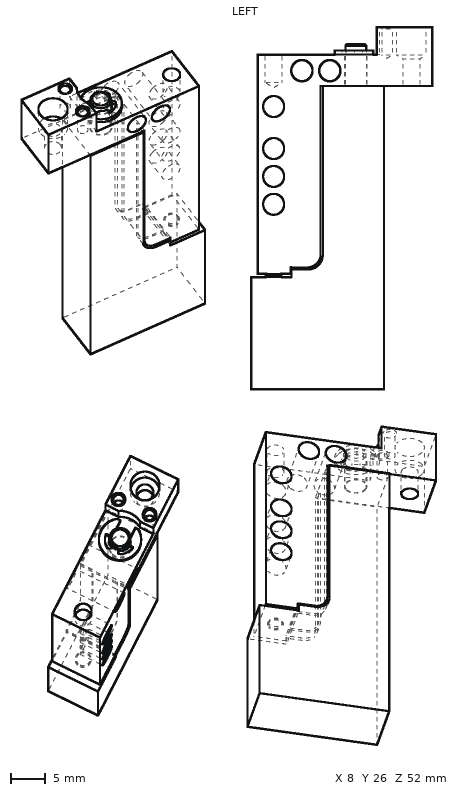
import cadquery as cq
import math

HOUSING_WIDTH = 8.0
HOUSING_DEPTH = 19.1
SHELF_HEIGHT = 16.1
SHELF_LENGTH = 5.75
POCKET_LENGTH = 10.3
POCKET_FLOOR = 17.2
POCKET_RADIUS = 2.2
RIB_WIDTH = 4.0

SLIDE_WIDTH = 7.7
SLIDE_INSET = 0.95
TOTAL_HEIGHT = 52.0
TOTAL_DEPTH = 26.0
HEAD_BLOCK_LENGTH = 8.0
HEAD_BLOCK_RISE = 3.95
HEAD_HEIGHT = 8.5
POCKET_GAP = 0.3
FOOT_GAP_Y = 0.13
FOOT_GAP_Z = 0.45

HOUSING_BACK = HOUSING_DEPTH
SLIDE_BACK = HOUSING_BACK - SLIDE_INSET
SLIDE_FRONT = HOUSING_BACK - TOTAL_DEPTH
SHELF_EDGE = HOUSING_BACK - SHELF_LENGTH
POCKET_WALL = HOUSING_BACK - POCKET_LENGTH
FOOT_FRONT = SHELF_EDGE + FOOT_GAP_Y
FOOT_BOTTOM = SHELF_HEIGHT + FOOT_GAP_Z
COLUMN_FRONT = POCKET_WALL + POCKET_GAP
COLUMN_BOTTOM = POCKET_FLOOR + POCKET_GAP
COLUMN_RADIUS = POCKET_RADIUS - POCKET_GAP
ARM_BOTTOM = TOTAL_HEIGHT - HEAD_HEIGHT
ARM_TOP = TOTAL_HEIGHT - HEAD_BLOCK_RISE
HEAD_BLOCK_BACK = SLIDE_FRONT + HEAD_BLOCK_LENGTH

CROSS_HOLE_DIAMETER = 3.0
HOLE_PITCH = 4.0
ARM_HOLE_Z = 45.75
ARM_HOLE_BACK_Y = 11.8
COLUMN_HOLE_Y = 15.85
COLUMN_HOLE_LOWEST_Z = 26.55
COLUMN_HOLE_TOP_Z = 40.6
COLUMN_HOLE_DEPTH = 3.65
EVEN_COLUMN_HOLES = 3
COLUMN_HOLES_Z = [COLUMN_HOLE_LOWEST_Z + i * HOLE_PITCH for i in range(EVEN_COLUMN_HOLES)]
COLUMN_HOLES_Z.append(COLUMN_HOLE_TOP_Z)

DRILL_POINT_ANGLE = 118.0
TOP_HOLE_DIAMETER = 2.45
TOP_HOLE_DEPTH = 4.0
MOUNT_HOLE_FRONT = 3.0
MOUNT_HOLE_DIAMETER = 2.45
MOUNT_BORE_DIAMETER = 4.2
MOUNT_BORE_DEPTH = 4.0
SCREW_HOLE_DIAMETER = 1.5
SCREW_HOLE_CHAMFER_DIAMETER = 2.0
SCREW_HOLE_DEPTH = 4.0
SCREW_HOLE_SPACING = 5.0
SCREW_HOLE_Y = -0.4

ROD_Y = 4.05
ROD_DIAMETER = 3.0
ROD_HOLE_DIAMETER = 3.2
ROD_TOP_DIAMETER = 2.45
ROD_RISE = 1.55
CLIP_DIAMETER = 6.1
CLIP_THICKNESS = 0.6
CLIP_MOUTH = 2.4
CLIP_END = 2.5
CLIP_SLOT_DIAMETER = 4.35
CLIP_TONGUE = 1.1
CLIP_SLOT_FRONT = 0.2
CLIP_RECESS_DIAMETER = 6.85
STOP_DIAMETER = 2.0
STOP_BASE_DIAMETER = 2.3
STOP_BASE_HEIGHT = 0.15


def extrude_side_profile(profile, width):
    """Extrude a YZ profile symmetrically about x = 0."""
    return profile.close().extrude(width / 2, both=True)


def cylinder(diameter, height, x, y, bottom):
    return cq.Workplane("XY", origin=(x, y, bottom)).circle(diameter / 2).extrude(height)


def cross_cylinder(y, z, depth):
    """Cylinder that enters the slide from its -X side."""
    start = (-SLIDE_WIDTH / 2, y, z)
    return cq.Workplane("YZ", origin=start).circle(CROSS_HOLE_DIAMETER / 2).extrude(depth)


def cone(bottom_diameter, top_diameter, height, x, y, bottom):
    solid = cq.Solid.makeCone(bottom_diameter / 2, top_diameter / 2, height, cq.Vector(x, y, bottom))
    return cq.Workplane(obj=solid)


def drill_cone_height(large_diameter, small_diameter=0.0):
    return (large_diameter - small_diameter) / 2 / math.tan(math.radians(DRILL_POINT_ANGLE / 2))


def drilled_hole(diameter, depth, x, y, top):
    """Blind hole with a conical drill point, opening upward."""
    point = drill_cone_height(diameter)
    bore = cylinder(diameter, depth, x, y, top - depth)
    return bore.union(cone(0, diameter, point, x, y, top - depth - point))


def make_rod():
    chamfer = (ROD_DIAMETER - ROD_TOP_DIAMETER) / 2
    rod = cylinder(ROD_DIAMETER, ARM_TOP + ROD_RISE - ARM_BOTTOM, 0, ROD_Y, ARM_BOTTOM)
    return rod.faces(">Z").chamfer(chamfer)


def make_stop():
    base = cylinder(STOP_BASE_DIAMETER, STOP_BASE_HEIGHT, 0, COLUMN_HOLE_Y, SHELF_HEIGHT)
    return base.union(cylinder(STOP_DIAMETER, FOOT_GAP_Z, 0, COLUMN_HOLE_Y, SHELF_HEIGHT))


def make_rib():
    """Fill the gap between slide column and pocket in the middle of the width."""
    profile = (
        cq.Workplane("YZ")
        .moveTo(SHELF_EDGE, POCKET_FLOOR)
        .lineTo(POCKET_WALL + POCKET_RADIUS, POCKET_FLOOR)
        .radiusArc((POCKET_WALL, POCKET_FLOOR + POCKET_RADIUS), POCKET_RADIUS)
        .lineTo(POCKET_WALL, ARM_BOTTOM)
        .lineTo(COLUMN_FRONT, ARM_BOTTOM)
        .lineTo(COLUMN_FRONT, COLUMN_BOTTOM + COLUMN_RADIUS)
        .radiusArc((COLUMN_FRONT + COLUMN_RADIUS, COLUMN_BOTTOM), -COLUMN_RADIUS)
        .lineTo(SHELF_EDGE, COLUMN_BOTTOM)
    )
    return extrude_side_profile(profile, RIB_WIDTH)


def make_housing():
    profile = (
        cq.Workplane("YZ")
        .moveTo(0, 0)
        .lineTo(HOUSING_BACK, 0)
        .lineTo(HOUSING_BACK, SHELF_HEIGHT)
        .lineTo(SHELF_EDGE, SHELF_HEIGHT)
        .lineTo(SHELF_EDGE, POCKET_FLOOR)
        .lineTo(POCKET_WALL + POCKET_RADIUS, POCKET_FLOOR)
        .radiusArc((POCKET_WALL, POCKET_FLOOR + POCKET_RADIUS), POCKET_RADIUS)
        .lineTo(POCKET_WALL, ARM_BOTTOM)
        .lineTo(0, ARM_BOTTOM)
    )
    block = extrude_side_profile(profile, HOUSING_WIDTH)
    return block.union(make_rib()).union(make_rod()).union(make_stop())


def make_slide_blank():
    profile = (
        cq.Workplane("YZ")
        .moveTo(SLIDE_FRONT, ARM_BOTTOM)
        .lineTo(COLUMN_FRONT, ARM_BOTTOM)
        .lineTo(COLUMN_FRONT, COLUMN_BOTTOM + COLUMN_RADIUS)
        .radiusArc((COLUMN_FRONT + COLUMN_RADIUS, COLUMN_BOTTOM), -COLUMN_RADIUS)
        .lineTo(FOOT_FRONT, COLUMN_BOTTOM)
        .lineTo(FOOT_FRONT, FOOT_BOTTOM)
        .lineTo(SLIDE_BACK, FOOT_BOTTOM)
        .lineTo(SLIDE_BACK, ARM_TOP)
        .lineTo(HEAD_BLOCK_BACK, ARM_TOP)
        .lineTo(HEAD_BLOCK_BACK, TOTAL_HEIGHT)
        .lineTo(SLIDE_FRONT, TOTAL_HEIGHT)
    )
    return extrude_side_profile(profile, SLIDE_WIDTH)


def mount_hole():
    """Through hole with a conical-bottomed counterbore."""
    y = SLIDE_FRONT + MOUNT_HOLE_FRONT
    bore_bottom = TOTAL_HEIGHT - MOUNT_BORE_DEPTH
    taper = drill_cone_height(MOUNT_BORE_DIAMETER, MOUNT_HOLE_DIAMETER)
    hole = cylinder(MOUNT_HOLE_DIAMETER, HEAD_HEIGHT, 0, y, ARM_BOTTOM)
    hole = hole.union(cylinder(MOUNT_BORE_DIAMETER, MOUNT_BORE_DEPTH, 0, y, bore_bottom))
    return hole.union(cone(MOUNT_HOLE_DIAMETER, MOUNT_BORE_DIAMETER, taper, 0, y, bore_bottom - taper))


def screw_hole(x):
    """Blind drilled hole with a 45 degree chamfer at its mouth."""
    chamfer = (SCREW_HOLE_CHAMFER_DIAMETER - SCREW_HOLE_DIAMETER) / 2
    mouth = cone(
        SCREW_HOLE_DIAMETER, SCREW_HOLE_CHAMFER_DIAMETER, chamfer, x, SCREW_HOLE_Y, TOTAL_HEIGHT - chamfer
    )
    return drilled_hole(SCREW_HOLE_DIAMETER, SCREW_HOLE_DEPTH, x, SCREW_HOLE_Y, TOTAL_HEIGHT).union(mouth)


def make_slide():
    slide = make_slide_blank()
    slide = slide.cut(cylinder(ROD_HOLE_DIAMETER, ARM_TOP - ARM_BOTTOM, 0, ROD_Y, ARM_BOTTOM))
    slide = slide.cut(cylinder(CLIP_RECESS_DIAMETER, HEAD_BLOCK_RISE, 0, ROD_Y, ARM_TOP))
    slide = slide.cut(drilled_hole(TOP_HOLE_DIAMETER, TOP_HOLE_DEPTH, 0, COLUMN_HOLE_Y, ARM_TOP))
    slide = slide.cut(mount_hole())
    for side in (-1, 1):
        slide = slide.cut(screw_hole(side * SCREW_HOLE_SPACING / 2))
    for y in (ARM_HOLE_BACK_Y, ARM_HOLE_BACK_Y - HOLE_PITCH):
        slide = slide.cut(cross_cylinder(y, ARM_HOLE_Z, SLIDE_WIDTH))
    for z in COLUMN_HOLES_Z:
        slide = slide.cut(cross_cylinder(COLUMN_HOLE_Y, z, COLUMN_HOLE_DEPTH))
    return slide


def clip_slot(side):
    """Arc-shaped slot open to the rod on one side (-1 or 1), with a round end at the tongue."""
    inner = ROD_DIAMETER / 2
    outer = CLIP_SLOT_DIAMETER / 2
    end_radius = (outer - inner) / 2
    middle = inner + end_radius
    end_x = CLIP_TONGUE / 2 + end_radius
    end_angle = math.acos(end_x / middle)
    across, along = math.cos(end_angle), math.sin(end_angle)

    def front_point(radius):
        return side * math.sqrt(radius**2 - CLIP_SLOT_FRONT**2), CLIP_SLOT_FRONT

    def end_point(radius):
        return side * radius * across, radius * along

    def middle_point(radius):
        angle = (math.asin(CLIP_SLOT_FRONT / radius) + end_angle) / 2
        return side * radius * math.cos(angle), radius * math.sin(angle)

    tip = (side * (end_x - end_radius * along), middle * along + end_radius * across)
    return (
        cq.Workplane("XY", origin=(0, ROD_Y, ARM_TOP))
        .moveTo(*front_point(inner))
        .lineTo(*front_point(outer))
        .threePointArc(middle_point(outer), end_point(outer))
        .threePointArc(tip, end_point(inner))
        .threePointArc(middle_point(inner), front_point(inner))
        .close()
        .extrude(CLIP_THICKNESS)
    )


def make_clip():
    clip = cylinder(CLIP_DIAMETER, CLIP_THICKNESS, 0, ROD_Y, ARM_TOP)
    clip = clip.cut(cylinder(ROD_DIAMETER, CLIP_THICKNESS, 0, ROD_Y, ARM_TOP))
    front_plane = cq.Workplane("XY", origin=(0, ROD_Y, ARM_TOP))
    mouth = front_plane.center(0, -CLIP_DIAMETER / 2).rect(CLIP_MOUTH, CLIP_DIAMETER).extrude(CLIP_THICKNESS)
    ends = (
        front_plane.center(0, -CLIP_END - CLIP_DIAMETER / 2)
        .rect(CLIP_DIAMETER, CLIP_DIAMETER)
        .extrude(CLIP_THICKNESS)
    )
    return clip.cut(mouth).cut(ends).cut(clip_slot(-1)).cut(clip_slot(1))


housing = make_housing()
slide = make_slide()
clip = make_clip()

result = cq.Compound.makeCompound([housing.val(), slide.val(), clip.val()])